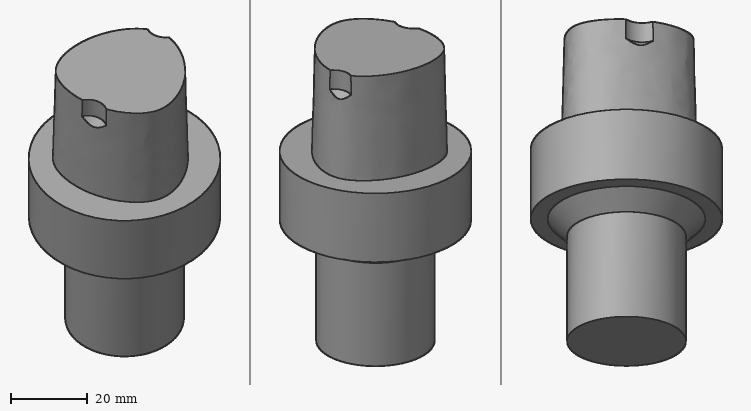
import cadquery as cq
import math

total_height = 85.0
shank_height = 30.0
flare_height = 5.0
taper_height = 30.0
taper_base = total_height - taper_height
collar_base = shank_height + flare_height

collar_radius = 50.0 / 2
shank_radius = 31.0 / 2
flare_radius = shank_radius + flare_height

base_width = 35.3
taper_ratio = 1 / 20
top_width = base_width - taper_height * taper_ratio
lobe_offset = 1.06

notch_radius = 4.9
notch_depth = 5.5
notch_tip_height = 4.5
front_notch_wall_y = -14.0
back_notch_wall_y = 16.2


def lobed_outline(width, z):
    """Closed trilobe wire whose opposite tangents are always `width` apart."""
    def point(t):
        angle = 2 * math.pi * t + math.pi / 2
        reach = width / 2 - lobe_offset * math.sin(3 * angle)
        slope = -3 * lobe_offset * math.cos(3 * angle)
        return (
            reach * math.cos(angle) - slope * math.sin(angle),
            reach * math.sin(angle) + slope * math.cos(angle),
            z,
        )

    samples = 72
    points = [cq.Vector(*point(i / samples)) for i in range(samples)]
    return cq.Wire.assembleEdges([cq.Edge.makeSpline(points, periodic=True)])


def round_body():
    """Cylindrical shank, conical flare and collar turned about Z."""
    return (
        cq.Workplane("XZ")
        .polyline([
            (0, 0),
            (shank_radius, 0),
            (shank_radius, shank_height),
            (flare_radius, collar_base),
            (collar_radius, collar_base),
            (collar_radius, taper_base),
            (0, taper_base),
        ])
        .close()
        .revolve(360, (0, 0), (0, 1))
    )


def lobed_taper():
    """Tapered trilobe standing on the collar."""
    outlines = [lobed_outline(base_width, taper_base), lobed_outline(top_width, total_height)]
    return cq.Workplane(cq.Solid.makeLoft(outlines, True))


def notch_drill(axis_y):
    """Vertical drill shape with a conical tip, reaching down from the top face."""
    shoulder = total_height - notch_depth
    return (
        cq.Workplane("XZ")
        .polyline([
            (0, shoulder - notch_tip_height),
            (notch_radius, shoulder),
            (notch_radius, total_height),
            (0, total_height),
        ])
        .close()
        .revolve(360, (0, 0), (0, 1))
        .translate((0, axis_y, 0))
    )


result = round_body().union(lobed_taper())
for drill_axis_y in (front_notch_wall_y - notch_radius, back_notch_wall_y + notch_radius):
    result = result.cut(notch_drill(drill_axis_y))